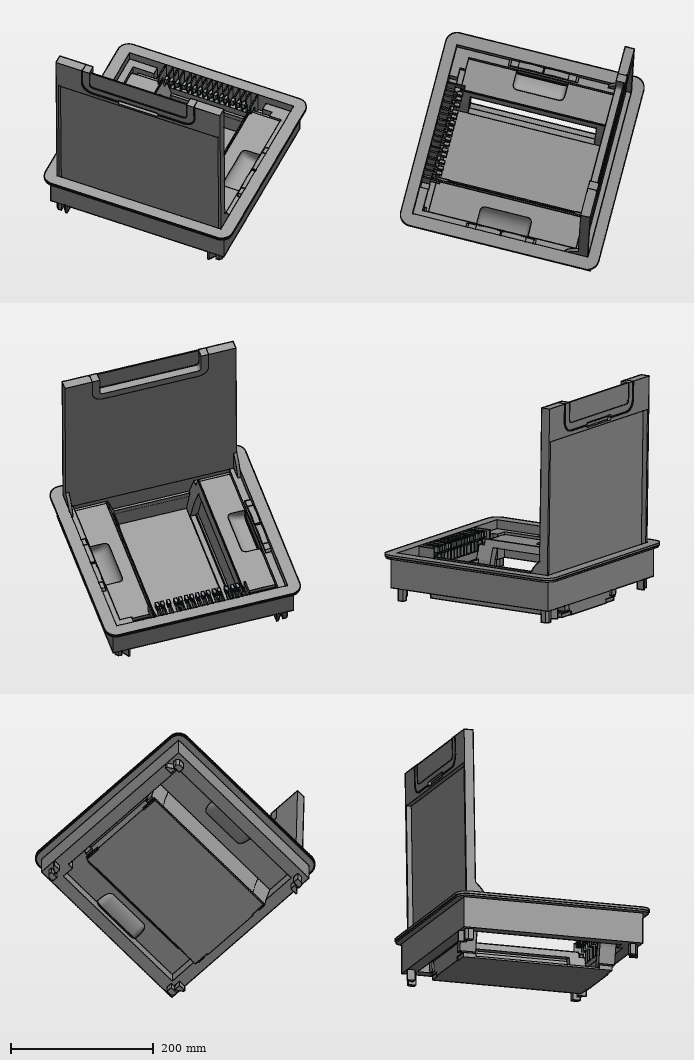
import cadquery as cq
import math


flange_side = 286.0
flange_corner_radius = 16.3
flange_lip = 3.5
flange_thickness = 6.0
flange_undercut = 1.3
wall_side = 264.7
frame_bottom = -49.5
mouth_x = 250.5
mouth_y = 253.0
shelf_z = -12.8
shelf_opening = 229.3
shelf_jog_x = 97.0

comb_recess_width = 166.0
comb_floor = -31.0
comb_top = -1.0
comb_overhang_bottom = -15.0
fin_thickness = 2.0
fin_end_y = 108.5
tip_width = 4.5
tip_end_y = 101.2
tip_height = 8.0
plain_fin_offset = 70.2
tipped_fin_offsets = [0, 8.0, 16.0, 24.7, 31.5, 42.3, 51.5, 59.0]

latch_width = 8.5
latch_length = 100.2
latch_height = 3.8
latch_bevel = 3.0
latch_step = 1.0
latch_step_length = 72.0
latch_boss_length = 58.3
latch_boss_gap = 9.0
latch_boss_rise = 2.0
latch_rib = 1.5

foot_inset = 6.3
foot_width = 8.0
foot_setback = 5.0
foot_depth = 11.3
long_foot_bottom = -68.3
short_foot_bottom = -64.5
foot_chamfer = 3.5
clip_inset = 23.0
clip_tip_width = 2.2
clip_root_width = 9.5
clip_depth = 10.5

deck_z = -16.3
deck_x = 226.8
deck_y = 213.0
tray_base_top = -22.0
tray_base_bottom = -26.5
vent_x = 7.5
vent_y = 4.0
trough_step_z = -41.7
trough_body_bottom = -64.8
trough_bottom = -74.0
trough_floor_z = -69.5
trough_base_top = -67.5
trough_top_half = 65.0
trough_step_half = 56.0
trough_floor_half = 50.0
trough_wall = 12.2
trough_wall_foot = 9.0
trough_step_length = 221.8
trough_floor_length = 216.0
trough_base_length = 223.5
trough_base_width = 131.5
window_length = 182.3
window_top = -23.8
window_reach = 81.5
window_skin = 1.5
sill_drop = 1.0
sill_inner_x = 50.0
sill_outer_x = 58.3
trough_rim_width = 2.8
trough_rim_rise = 2.5
end_pocket_margin = 1.5
pad_start_x = 43.5
pad_setback = 1.5
pad_height = 5.5
scoop_reach = 28.2
scoop_depth = 15.7
scoop_length = 74.0
scoop_fillet = 7.0
scoop_wall = 2.5
scoop_axis_x = 115.3

lid_tilt = 0.9
lid_thickness = 13.5
lid_top = 239.3
lid_back_y = -112.5
panel_recess_width = 243.7
panel_recess_depth = 7.2
panel_recess_top = 191.7
ear_width = 4.7
ear_top = 18.8
ear_reach = 19.5
ear_bulge_y = 12.8
ear_bulge_height = 16.3

flap_width = 170.5
flap_bottom = 198.5
flap_corner_radius = 15.7
flap_rim_width = 11.0
flap_rim_corner_radius = 5.5
flap_panel_setback = 0.5
flap_panel_thickness = 1.5
joint_groove_width = 1.3
joint_groove_depth = 1.3
grip_length = 60.0
grip_height = 7.2
grip_depth = 5.0
grip_center_z = 198.3
grip_end_radius = 2.0

tilt = math.radians(lid_tilt)
lid_pivot_z = shelf_z + lid_thickness * math.sin(tilt)
lid_height = (lid_top - lid_pivot_z) / math.cos(tilt)


def block(x0, x1, y0, y1, z0, z1):
    """Box between two opposite corners."""
    return cq.Workplane("XY").box(x1 - x0, y1 - y0, z1 - z0, centered=False).translate((x0, y0, z0))


def centered_block(width, length, z0, z1):
    """Box centred on the Z axis."""
    return block(-width / 2, width / 2, -length / 2, length / 2, z0, z1)


def both_sides(shape):
    """The shape together with its mirror image across X = 0."""
    return shape.union(shape.mirror("YZ"))


def frame_shell():
    under_side = flange_side - 2 * flange_undercut
    lip = centered_block(flange_side, flange_side, -flange_lip, 0)
    lip = lip.edges("|Z").fillet(flange_corner_radius)
    under = centered_block(under_side, under_side, -flange_thickness, -flange_lip)
    under = under.edges("|Z").fillet(flange_corner_radius - flange_undercut)
    walls = centered_block(wall_side, wall_side, frame_bottom, -flange_thickness)
    shell = walls.union(under).union(lip)
    shell = shell.cut(centered_block(mouth_x, mouth_y, shelf_z, 0))
    shell = shell.cut(centered_block(shelf_opening, shelf_opening, frame_bottom, shelf_z))
    jog = block(shelf_jog_x, shelf_opening / 2, deck_y / 2, shelf_opening / 2, frame_bottom, shelf_z)
    return shell.union(jog)


def comb_recess():
    half = comb_recess_width / 2
    return block(-half, half, shelf_opening / 2, mouth_y / 2, comb_floor, shelf_z)


def comb_fin(x, end_y):
    """Upright fin that rises from the recess floor and overhangs the tray up to end_y."""
    left = x - fin_thickness / 2
    right = x + fin_thickness / 2
    root = block(left, right, shelf_opening / 2, mouth_y / 2, comb_floor, comb_top)
    return root.union(block(left, right, end_y, mouth_y / 2, comb_overhang_bottom, comb_top))


def comb_tip(x):
    return block(x - tip_width / 2, x + tip_width / 2, tip_end_y, fin_end_y, comb_top - tip_height, comb_top)


def add_comb(shell):
    for offset in tipped_fin_offsets:
        for x in {-offset, offset}:
            shell = shell.union(comb_fin(x, fin_end_y)).union(comb_tip(x))
    for x in (-plain_fin_offset, plain_fin_offset):
        shell = shell.union(comb_fin(x, tip_end_y))
    return shell


def latch():
    """Bevelled bar with two rounded bosses and a middle rib, on the +X shelf."""
    top = shelf_z + latch_height
    inner_x = mouth_x / 2 - latch_width
    bar = block(inner_x, mouth_x / 2, -latch_length / 2, latch_length / 2, shelf_z, top)
    bar = bar.edges(">Z and |X").chamfer(latch_bevel)
    step_top = top + latch_step
    half_step = latch_step_length / 2
    bar = bar.union(block(inner_x, mouth_x / 2, -half_step, half_step, top, step_top))
    boss_start = latch_boss_gap / 2
    boss_end = latch_boss_length / 2
    boss_middle = (boss_start + boss_end) / 2
    for side in (-1, 1):
        boss = (
            cq.Workplane("YZ", origin=(inner_x, 0, step_top))
            .moveTo(side * boss_start, 0)
            .threePointArc((side * boss_middle, latch_boss_rise), (side * boss_end, 0))
            .close()
            .extrude(latch_width)
        )
        bar = bar.union(boss)
    rib = block(inner_x, mouth_x / 2, -latch_rib / 2, latch_rib / 2, step_top, step_top + latch_boss_rise)
    return bar.union(rib)


def corner_feet(foot_bottom):
    """Block foot and wedge-shaped clip under the (+X, -Y) corner."""
    edge = wall_side / 2
    foot_x = edge - foot_inset
    foot_y = -edge + foot_setback
    foot = block(foot_x - foot_width, foot_x, foot_y, foot_y + foot_depth, foot_bottom, frame_bottom)
    foot = foot.edges("|Z and >X and <Y").chamfer(foot_chamfer)
    clip_x = edge - clip_inset
    clip_y = -edge + clip_depth
    clip = (
        cq.Workplane("XY", origin=(0, 0, short_foot_bottom))
        .polyline([
            (clip_x - clip_tip_width, -edge),
            (clip_x, -edge),
            (clip_x - clip_tip_width + clip_root_width, clip_y),
            (clip_x - clip_tip_width, clip_y),
        ])
        .close()
        .extrude(frame_bottom - short_foot_bottom)
    )
    return foot.union(clip)


def scoop(offset=0.0):
    """Finger scoop of quarter-ellipse section below the deck at the +X side, enlarged by offset."""
    reach = scoop_reach + offset
    depth = scoop_depth + offset
    length = scoop_length + 2 * offset
    profile = (
        cq.Workplane("XZ", origin=(0, length / 2, 0))
        .moveTo(scoop_axis_x, deck_z)
        .lineTo(scoop_axis_x - reach, deck_z)
        .ellipseArc(reach, depth, 180, 270, startAtCurrent=True)
        .close()
        .extrude(length)
    )
    return profile.edges("%ELLIPSE").fillet(scoop_fillet + offset)


frame = frame_shell().cut(comb_recess())
frame = add_comb(frame)
frame = frame.union(both_sides(latch()))
frame = frame.cut(both_sides(scoop()))
right_feet = corner_feet(short_foot_bottom)
left_feet = corner_feet(long_foot_bottom).mirror("YZ")
for feet in (right_feet, left_feet):
    frame = frame.union(feet).union(feet.mirror("XZ"))


rim_top = deck_z + trough_rim_rise


def trough_half_width(z):
    """Inner half width of the trough at height z; the side is steeper below the step."""
    if z > trough_step_z:
        share = (z - trough_step_z) / (deck_z - trough_step_z)
        return trough_step_half + share * (trough_top_half - trough_step_half)
    share = (z - trough_floor_z) / (trough_step_z - trough_floor_z)
    return trough_floor_half + share * (trough_step_half - trough_floor_half)


def trough_prism(z0, z1, length, extra=0.0, extra_low=None):
    """Sloping-sided prism along Y, wider than the trough by extra, or extra_low at its bottom."""
    if extra_low is None:
        extra_low = extra
    side = [(trough_half_width(z0) + extra_low, z0)]
    if z0 < trough_step_z < z1:
        side.append((trough_step_half + extra, trough_step_z))
    side.append((trough_half_width(z1) + extra, z1))
    other_side = [(-x, z) for x, z in reversed(side)]
    profile = cq.Workplane("XZ", origin=(0, length / 2, 0)).polyline(side + other_side)
    return profile.close().extrude(length)


def trough_lower_cavity():
    """Lower part of the trough, tapered on all four sides."""
    return (
        cq.Workplane("XY", origin=(0, 0, trough_floor_z))
        .rect(2 * trough_floor_half, trough_floor_length)
        .workplane(offset=trough_step_z - trough_floor_z)
        .rect(2 * trough_step_half, trough_step_length)
        .loft(ruled=True)
    )


def tray_base():
    base = centered_block(shelf_opening, shelf_opening, tray_base_bottom, tray_base_top)
    corner = shelf_opening / 2
    base = base.cut(block(shelf_jog_x, corner, deck_y / 2, corner, tray_base_bottom, tray_base_top))
    vent = block(-corner, -corner + vent_x, corner - vent_y, corner, tray_base_bottom, tray_base_top)
    return base.cut(vent)


def end_pockets():
    """Space beyond the end walls of the lower trough, between the ends of its side walls."""
    pocket = trough_prism(trough_bottom, frame_bottom, shelf_opening, end_pocket_margin)
    pocket = pocket.cut(centered_block(shelf_opening, trough_base_length, trough_bottom, frame_bottom))
    return pocket


def pad_setbacks():
    """Shallow steps in the end faces of the trough base, at its four corners."""
    top = trough_bottom + pad_height
    end = trough_base_length / 2
    corner = block(pad_start_x, trough_base_width / 2, end - pad_setback, end, trough_bottom, top)
    corners = both_sides(corner)
    return corners.union(corners.mirror("XZ"))


def window_opening():
    """Side windows of the trough with stepped sills; the -X one keeps an outer skin."""
    half = window_length / 2
    opening = block(0, window_reach, -half, half, trough_floor_z, window_top)
    for step, start_x in enumerate((sill_inner_x, sill_outer_x), start=1):
        sill_z = trough_floor_z - step * sill_drop
        opening = opening.union(block(start_x, window_reach, -half, half, sill_z, window_top))
    hollow = trough_prism(trough_body_bottom, window_top, window_length, trough_wall - window_skin)
    hollow_foot = trough_prism(
        trough_base_top,
        trough_body_bottom,
        window_length,
        trough_wall - window_skin,
        trough_wall_foot - window_skin,
    )
    closed = opening.mirror("YZ").intersect(hollow.union(hollow_foot))
    return opening.union(closed)


tray = tray_base().union(centered_block(deck_x, deck_y, tray_base_bottom, deck_z))
blister = scoop(scoop_wall)
inside_frame = centered_block(deck_x, deck_y, frame_bottom, deck_z)
tray = tray.union(both_sides(blister).intersect(inside_frame))
tray = tray.union(trough_prism(trough_body_bottom, tray_base_bottom, shelf_opening, trough_wall))
tray = tray.union(centered_block(trough_base_width, trough_base_length, trough_bottom, trough_base_top))
rim_width = 2 * (trough_top_half + trough_rim_width)
tray = tray.union(centered_block(rim_width, deck_y, deck_z, rim_top))
wall_feet = trough_prism(
    trough_base_top, trough_body_bottom, trough_base_length, trough_wall, trough_wall_foot
)
tray = tray.union(wall_feet)
tray = tray.cut(end_pockets()).cut(pad_setbacks())
tray = tray.cut(trough_prism(trough_step_z, rim_top, shelf_opening))
tray = tray.cut(trough_lower_cavity())
tray = tray.cut(window_opening())
tray = tray.cut(both_sides(scoop()))


def stand_open(shape):
    """Move an upright lid part, with its lower back edge on the X axis, to the open position."""
    tilted = shape.rotate((0, 0, 0), (1, 0, 0), lid_tilt)
    return tilted.translate((0, lid_back_y, lid_pivot_z))


def flap_outline(width, bottom, corner_radius, y0, y1):
    """Upright slab from bottom to the lid top with rounded lower corners."""
    slab = block(-width / 2, width / 2, y0, y1, bottom, lid_height)
    return slab.edges("|Y and <Z").fillet(corner_radius)


def grip():
    """Rounded finger grip across the lower edge of the flap."""
    low = grip_center_z - lid_pivot_z - grip_height / 2
    y0 = -lid_thickness
    pocket = block(-grip_length / 2, grip_length / 2, y0, y0 + grip_depth, low, low + grip_height)
    pocket = pocket.edges("|Y").fillet(grip_end_radius)
    return pocket


def hinge_ear():
    """Rounded ear behind the +X end of the lid."""
    ear_height = ear_top - lid_pivot_z
    return (
        cq.Workplane("YZ", origin=(mouth_x / 2 - ear_width, 0, 0))
        .moveTo(-lid_thickness / 2, 0)
        .lineTo(ear_reach, 0)
        .threePointArc((ear_bulge_y, ear_bulge_height), (0, ear_height))
        .lineTo(-lid_thickness / 2, ear_height)
        .close()
        .extrude(ear_width)
    )


front_y = -lid_thickness
flap_low = flap_bottom - lid_pivot_z
flap_slab = flap_outline(flap_width, flap_low, flap_corner_radius, front_y, 0)
joint_groove = flap_outline(
    flap_width + 2 * joint_groove_width,
    flap_low - joint_groove_width,
    flap_corner_radius + joint_groove_width,
    front_y,
    front_y + joint_groove_depth,
)

recess_half = panel_recess_width / 2
recess_top = panel_recess_top - lid_pivot_z
panel_recess = block(-recess_half, recess_half, front_y, front_y + panel_recess_depth, 0, recess_top)
lid = block(-mouth_x / 2, mouth_x / 2, front_y, 0, 0, lid_height)
lid = lid.union(both_sides(hinge_ear()))
lid = lid.cut(panel_recess).cut(flap_slab).cut(joint_groove).cut(grip())
lid = stand_open(lid)

flap_window_width = flap_width - 2 * flap_rim_width
flap_window_bottom = flap_low + flap_rim_width
panel_front = front_y + flap_panel_setback
panel_back = panel_front + flap_panel_thickness
flap = flap_slab
for y0, y1 in ((front_y, panel_front), (panel_back, 0)):
    flap = flap.cut(flap_outline(flap_window_width, flap_window_bottom, flap_rim_corner_radius, y0, y1))
flap = stand_open(flap.cut(grip()))

result = cq.Compound.makeCompound([body.solids().val() for body in (frame, tray, lid, flap)])